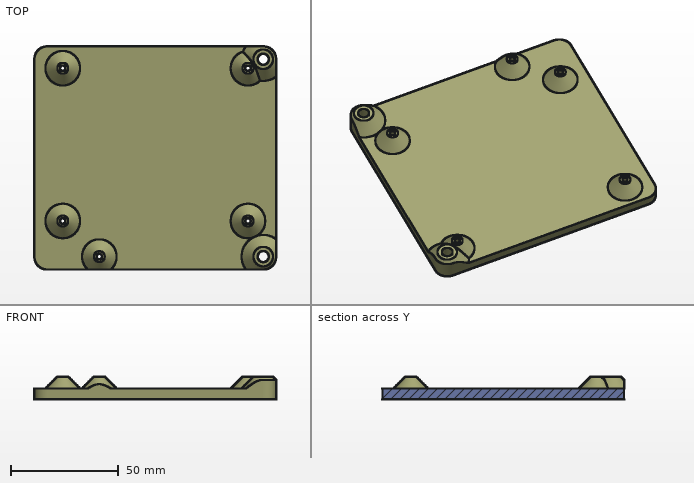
import cadquery as cq

length = 112.1
width = 103.5
plate_thickness = 5.0
total_height = 10.5
corner_radius = 6.0

cone_height = total_height - plate_thickness
small_top_diameter = 5.0
small_hole_diameter = 2.5
large_top_diameter = 9.1
large_hole_diameter = 5.0

pattern_left = 13.2
pattern_front = 22.5
pattern_spacing_x = 85.7
pattern_spacing_y = 70.7
extra_standoff_x = 30.1

small_points = [
    (x, y)
    for x in (pattern_left, pattern_left + pattern_spacing_x)
    for y in (pattern_front, pattern_front + pattern_spacing_y)
]
small_points.append((extra_standoff_x, corner_radius))

large_points = [
    (length - corner_radius, corner_radius),
    (length - corner_radius, width - corner_radius),
]


def rounded_block(height):
    """Block with the rounded outline of the plate."""
    block = cq.Workplane("XY").box(length, width, height, centered=False)
    return block.edges("|Z").fillet(corner_radius)


def cones(points, top_diameter):
    """Conical standoffs standing on the plate."""
    top_radius = top_diameter / 2
    base_radius = top_radius + cone_height
    cone = cq.Solid.makeCone(base_radius, top_radius, cone_height)
    return cq.Workplane("XY").workplane(offset=plate_thickness).pushPoints(points).eachpoint(
        lambda location: cone.moved(location), combine=False
    )


def holes(points, diameter):
    """Cylinders that cut through the plate and standoffs."""
    return cq.Workplane("XY").pushPoints(points).circle(diameter / 2).extrude(total_height)


plate = rounded_block(plate_thickness)
for points, top_diameter in ((small_points, small_top_diameter), (large_points, large_top_diameter)):
    plate = plate.union(cones(points, top_diameter))

result = plate.intersect(rounded_block(total_height))

for points, diameter in ((small_points, small_hole_diameter), (large_points, large_hole_diameter)):
    result = result.cut(holes(points, diameter))